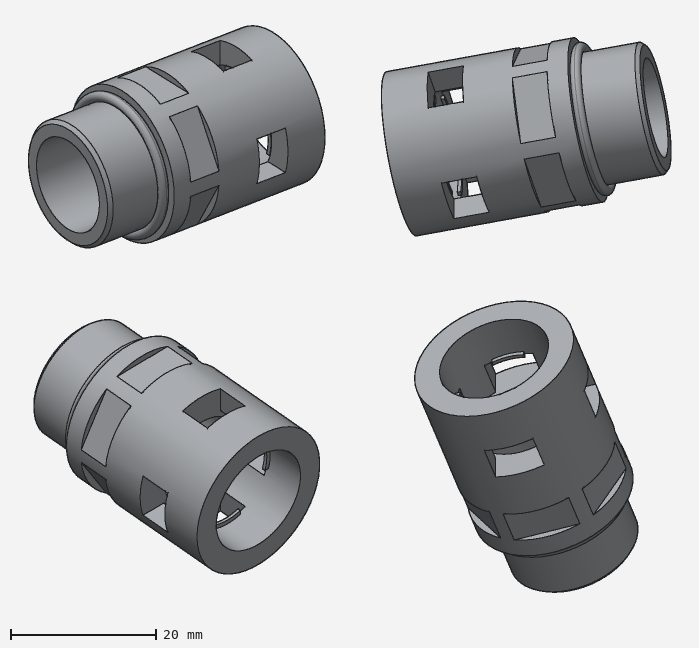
import cadquery as cq

length = 36.0
body_diameter = 23.0
body_start = 9.55
neck_diameter = 18.58
bore_diameter = 13.95
end_bevel_length = 0.58
end_bevel_depth = 0.5

recess_diameter = 15.75
recess_start = 24.48
catch_start = 29.38
catch_length = 0.5
catch_width = 4.6
catch_inner_diameter = 14.47

ring_embedding = 0.05
ring_section_diameter = 1.5
ring_outer_diameter = 21.45

window_count = 4
window_start = recess_start
window_length = 5.0
window_width = 7.02

flat_count = 6
flat_start = 12.5
flat_length = 4.95
across_flats = 20.95


def cylinder(diameter, start, cylinder_length):
    """Cylinder on the Y axis, running toward +Y from start."""
    base = cq.Workplane("XZ", origin=(0, start, 0))
    return base.circle(diameter / 2).extrude(-cylinder_length)


def make_neck():
    """Bevelled neck, reaching inside the body to join it."""
    radius = neck_diameter / 2
    profile = (
        cq.Workplane("XY")
        .lineTo(radius - end_bevel_depth, 0)
        .lineTo(radius, end_bevel_length)
        .lineTo(radius, length / 2)
        .lineTo(0, length / 2)
        .close()
    )
    return profile.revolve(360, (0, 0, 0), (0, 1, 0))


def make_ring():
    """Round-section ring pressed against the body shoulder."""
    section_radius = ring_section_diameter / 2
    section = cq.Workplane("XY").center(
        ring_outer_diameter / 2 - section_radius, body_start - section_radius + ring_embedding
    )
    axis_x = section_radius - ring_outer_diameter / 2
    return section.circle(section_radius).revolve(360, (axis_x, 0, 0), (axis_x, 1, 0))


def make_windows():
    """Radial rectangular cutters, the first pointing along +Z."""
    cutter = cq.Workplane("XY").box(
        window_width, window_length, body_diameter, centered=(True, False, False)
    ).translate((0, window_start, 0))
    windows = cutter
    for index in range(1, window_count):
        angle = index * 360 / window_count
        windows = windows.union(cutter.rotate((0, 0, 0), (0, 1, 0), angle))
    return windows


def make_flats():
    """Cutters outside each flat, the first facing +Z."""
    cutter = cq.Workplane("XY").box(
        body_diameter, flat_length, body_diameter, centered=(True, False, False)
    ).translate((0, flat_start, across_flats / 2))
    flats = cutter
    for index in range(1, flat_count):
        angle = index * 360 / flat_count
        flats = flats.union(cutter.rotate((0, 0, 0), (0, 1, 0), angle))
    return flats


def make_catches():
    """Segments of a short ring, seated in the recess wall behind the windows."""
    ring = cylinder(recess_diameter, catch_start, catch_length)
    ring = ring.cut(cylinder(catch_inner_diameter, catch_start, catch_length))
    middle_y = catch_start + catch_length / 2
    across_x = cq.Workplane("XY").box(recess_diameter, catch_length, catch_width)
    across_z = cq.Workplane("XY").box(catch_width, catch_length, recess_diameter)
    bars = across_x.union(across_z).translate((0, middle_y, 0))
    return ring.intersect(bars)


body = cylinder(body_diameter, body_start, length - body_start)
sleeve = body.union(make_neck()).union(make_ring()).cut(make_windows()).cut(make_flats())
sleeve = sleeve.cut(cylinder(bore_diameter, 0, recess_start))
sleeve = sleeve.cut(cylinder(recess_diameter, recess_start, length - recess_start))

result = sleeve.union(make_catches())